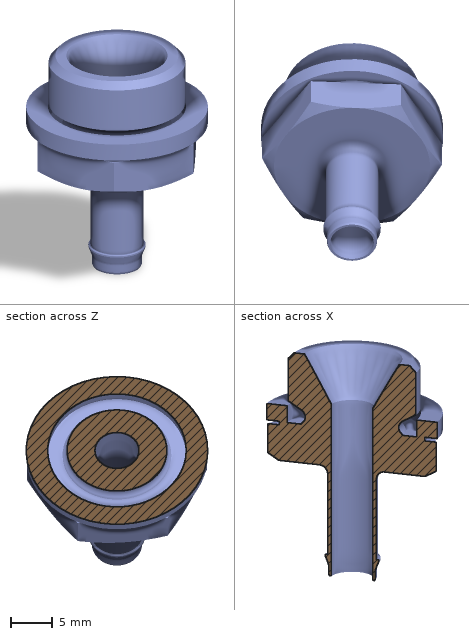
import cadquery as cq
import math

total_height = 28.0
hex_bottom = 14.0
hex_top = 18.6
collar_top = 19.0
washer_top = 21.15
thread_bottom = 21.75

tube_radius = 6.4 / 2
tube_root_fillet = 1.0
tip_radius = 6.1 / 2
tip_chamfer_width = 0.1
tip_chamfer_height = 0.25
tip_height = 1.35
tip_root_fillet = 0.4
barb_radius = 7.0 / 2
barb_cone_top = 2.5
barb_top = 2.75
barb_edge_round = 0.08

edge_tolerance = 0.001

across_flats = 19.0
hex_sides = 6
across_corners = across_flats / math.cos(math.pi / hex_sides)
hex_chamfer_angle = 30.0

collar_radius = 19.0 / 2
thread_radius = 16.66 / 2
thread_chamfer = 0.85
neck_radius = 12.2 / 2
groove_arc_radius = 0.95
upper_flank_angle = 30.0
lower_flank_angle = 45.0

washer_outer_radius = 22.15 / 2
washer_inner_radius = 16.8 / 2

bore_radius = 5.3 / 2
mouth_radius = 12.3 / 2
mouth_cone_angle = 60.0


def cylinder(radius, bottom, top):
    return cq.Workplane("XY").workplane(offset=bottom).circle(radius).extrude(top - bottom)


def revolve_profile(profile):
    """Turn a closed (radius, height) outline about the Z axis."""
    return profile.close().revolve(360, (0, 0, 0), (0, 1, 0))


def round_circle(body, radius, height, round_radius):
    """Round the one edge that circles the Z axis at this radius and height."""
    circle = body.edges("%CIRCLE").filter(
        lambda edge: math.isclose(edge.radius(), radius, abs_tol=edge_tolerance)
        and math.isclose(edge.Center().z, height, abs_tol=edge_tolerance)
    )
    return circle.fillet(round_radius)


def hose_barb():
    """Tube with a single barb above a chamfered tip."""
    profile = (
        cq.Workplane("XZ")
        .lineTo(tip_radius - tip_chamfer_width, 0)
        .lineTo(tip_radius, tip_chamfer_height)
        .lineTo(tip_radius, tip_height)
        .lineTo(barb_radius, barb_cone_top)
        .lineTo(barb_radius, barb_top)
        .lineTo(tube_radius, barb_top)
        .lineTo(tube_radius, hex_bottom - tube_root_fillet)
        .radiusArc((tube_radius + tube_root_fillet, hex_bottom), tube_root_fillet)
        .lineTo(0, hex_bottom)
    )
    barb = revolve_profile(profile)
    barb = round_circle(barb, tip_radius, tip_height, tip_root_fillet)
    return round_circle(barb, barb_radius, barb_top, barb_edge_round)


def hexagon():
    """Hexagon with corners on the Y axis and its lower corners turned to a cone."""
    prism = (
        cq.Workplane("XY")
        .workplane(offset=hex_bottom)
        .polygon(hex_sides, across_corners)
        .extrude(hex_top - hex_bottom)
        .rotate((0, 0, 0), (0, 0, 1), 90)
    )
    cone_rise = hex_top - hex_bottom
    cone_top_radius = across_flats / 2 + cone_rise / math.tan(math.radians(hex_chamfer_angle))
    envelope = revolve_profile(
        cq.Workplane("XZ")
        .moveTo(0, hex_bottom)
        .lineTo(across_flats / 2, hex_bottom)
        .lineTo(cone_top_radius, hex_top)
        .lineTo(0, hex_top)
    )
    return prism.intersect(envelope)


def threaded_end():
    """Plain thread cylinder above a relief groove; an arc joins the two conical groove flanks."""
    upper_flank = math.radians(upper_flank_angle)
    lower_flank = math.radians(lower_flank_angle)

    arc_center_radius = neck_radius + groove_arc_radius
    thread_overhang = thread_radius - arc_center_radius
    arc_center_height = (
        thread_bottom
        - thread_overhang * math.tan(upper_flank)
        - groove_arc_radius / math.cos(upper_flank)
    )
    upper_tangent = (
        arc_center_radius - groove_arc_radius * math.sin(upper_flank),
        arc_center_height + groove_arc_radius * math.cos(upper_flank),
    )
    lower_tangent = (
        arc_center_radius - groove_arc_radius * math.sin(lower_flank),
        arc_center_height - groove_arc_radius * math.cos(lower_flank),
    )
    foot_radius = lower_tangent[0] + (lower_tangent[1] - collar_top) / math.tan(lower_flank)

    stud = revolve_profile(
        cq.Workplane("XZ")
        .moveTo(0, collar_top)
        .lineTo(foot_radius, collar_top)
        .lineTo(*lower_tangent)
        .threePointArc((neck_radius, arc_center_height), upper_tangent)
        .lineTo(thread_radius, thread_bottom)
        .lineTo(thread_radius, total_height - thread_chamfer)
        .lineTo(thread_radius - thread_chamfer, total_height)
        .lineTo(0, total_height)
    )
    collar = cylinder(collar_radius, hex_top, collar_top)
    return collar.union(stud)


def washer():
    """Flat ring resting on the collar, clear of the relief groove."""
    return cylinder(washer_outer_radius, collar_top, washer_top).cut(
        cylinder(washer_inner_radius, collar_top, washer_top)
    )


def bore():
    """Straight through bore that opens into a cone at the threaded end."""
    mouth_depth = (mouth_radius - bore_radius) / math.tan(math.radians(mouth_cone_angle / 2))
    return revolve_profile(
        cq.Workplane("XZ")
        .lineTo(bore_radius, 0)
        .lineTo(bore_radius, total_height - mouth_depth)
        .lineTo(mouth_radius, total_height)
        .lineTo(0, total_height)
    )


result = hose_barb().union(hexagon()).union(threaded_end()).union(washer()).cut(bore())